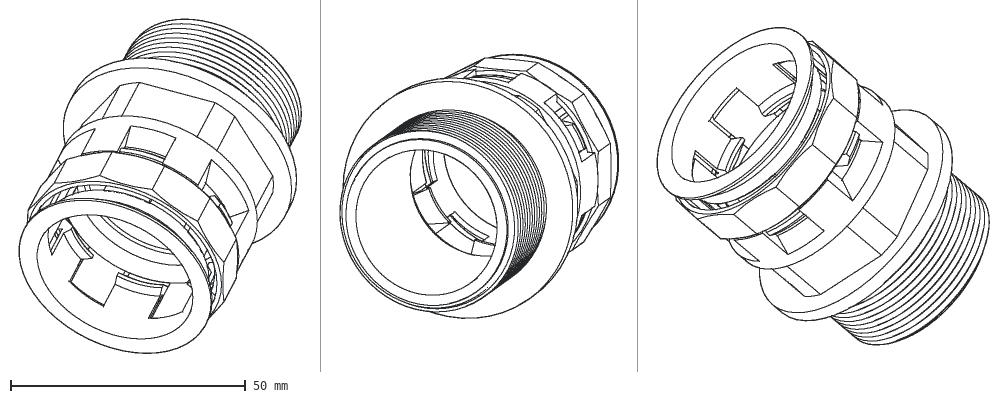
import cadquery as cq
import math


LENGTH = 60.9
NUT_START = 5.85
NUT_END = 15.05
TAPER_START = 19.8
TAPER_END = 22.95
CAGE_END = 26.25
FLANGE_START = 37.75
FLANGE_END = 40.85
THREAD_END = 60.05

BORE_RADIUS = 15.95
SOCKET_RADIUS = 17.2
CAGE_BORE_RADIUS = 19.5
CAGE_RADIUS = 22.5
POST_RADIUS = 21.0
POST_START = 7.6
POST_DISH = 0.9
HEX_FLAT = 20.1
NECK_RADIUS = 21.85
FLANGE_RADIUS = 26.0
THREAD_RADIUS = 20.05
THREAD_ROOT = 19.0
THREAD_PITCH = 1.5
SHANK_RADIUS = 18.2
COIL_BORE = 17.05

WINDOW_HALF_WIDTH = 5.1
SIDE_WINDOW_X = 13.2
SIDE_WINDOW_Z = 5.9
WINDOW_END = 23.2

NUT_SIDES = 12
NUT_FLAT = 22.3
NUT_END_RADIUS = 22.05
NUT_CHAMFER_SLOPE = 0.8

SLEEVE_BORE_RADIUS = 17.7
RIM_RADIUS = NECK_RADIUS
RIM_END = 0.7
FLARE_END = 3.65
COLLAR_END = 6.65
COLLAR_RADIUS = 18.9
FINGER_RADIUS = 18.65
BARB_START = 13.65
BARB_RADIUS = 16.3
BARB_PEAK = 14.8
BEVEL_START = 15.8
TIP_RADIUS = 19.8
TIP_END = 18.95
HOOK_RADIUS = 21.4
HOOK_START = 16.25
HOOK_END = 17.4
SIDE_FINGER_TOP = 12.25
SIDE_FINGER_X = 15.6
SIDE_FINGER_Z = 5.1
SIDE_FINGER_SLOPE = 23.0

CLEAR = 27.4
SIDES = (1, -1)


def turned(profile):
    """Solid of revolution about Y from (radius, y) points."""
    return cq.Workplane("XY").polyline(profile).close().revolve(360, (0, 0), (0, 1))


def ring(inner, outer, start, end):
    return turned([(inner, start), (outer, start), (outer, end), (inner, end)])


def prism(outline, start, end):
    """Prism along Y from (x, z) points."""
    return cq.Workplane("XZ", origin=(0, start, 0)).polyline(outline).close().extrude(start - end)


def regular_prism(sides, flat, start, end):
    """Regular polygon prism along Y with flats facing +Z and -Z."""
    corner_radius = flat / math.cos(math.pi / sides)
    outline = []
    for i in range(sides):
        angle = math.pi / 2 + (2 * i + 1) * math.pi / sides
        outline.append((corner_radius * math.cos(angle), corner_radius * math.sin(angle)))
    return prism(outline, start, end)


def six_sectors(middle, side, start, end):
    """One prism for the +Z sector and one for the +X +Z sector, mirrored to make six."""
    sectors = cq.Workplane("XY")
    for z_sign in SIDES:
        sectors = sectors.add(prism([(x, z_sign * z) for x, z in middle], start, end))
        for x_sign in SIDES:
            sectors = sectors.add(prism([(x_sign * x, z_sign * z) for x, z in side], start, end))
    return sectors.combine()


def helix_turn(radius, height):
    """One left-handed turn about Z, starting over +X at the given height."""
    return cq.Wire.makeHelix(THREAD_PITCH, THREAD_PITCH, radius, lefthand=True).translate((0, 0, height))


def coil_end(height):
    """Flat end of the coiled thread section, in the half-plane through +X."""
    crest = height + THREAD_PITCH / 2
    top = height + THREAD_PITCH
    corners = [
        (COIL_BORE, 0, height),
        (THREAD_ROOT, 0, height),
        (THREAD_RADIUS, 0, crest),
        (THREAD_ROOT, 0, top),
        (COIL_BORE, 0, top),
    ]
    return cq.Face.makeFromWires(cq.Wire.makePolygon([cq.Vector(*c) for c in corners], close=True))


def strip(first, second):
    """Helical face between two turns, each a (radius, height)."""
    return cq.Face.makeRuledSurface(helix_turn(*first), helix_turn(*second))


def make_thread():
    """Coil with a V outside, trimmed flat at both ends and hollowed to the plain shank."""
    length = THREAD_END - FLANGE_END
    turns = math.ceil(length / THREAD_PITCH) + 2
    top = turns * THREAD_PITCH
    faces = [
        coil_end(0),
        coil_end(top),
        strip((COIL_BORE, 0), (THREAD_ROOT, 0)),
        strip((COIL_BORE, top), (THREAD_ROOT, top)),
    ]
    for turn in range(turns):
        root = turn * THREAD_PITCH
        crest = root + THREAD_PITCH / 2
        next_root = root + THREAD_PITCH
        faces.append(strip((THREAD_ROOT, root), (THREAD_RADIUS, crest)))
        faces.append(strip((THREAD_RADIUS, crest), (THREAD_ROOT, next_root)))
        faces.append(strip((COIL_BORE, root), (COIL_BORE, next_root)))
    coil = (
        cq.Workplane(obj=cq.Solid.makeSolid(cq.Shell.makeShell(faces)))
        .rotate((0, 0, 0), (1, 0, 0), -90)
        .translate((0, FLANGE_END - THREAD_PITCH, 0))
    )
    return coil.intersect(ring(SHANK_RADIUS, CLEAR, FLANGE_END, THREAD_END))


def make_windows():
    """Six openings that leave posts between them and run out of the front of the cage."""
    slope = (WINDOW_END - TAPER_START) / (CAGE_RADIUS - CAGE_BORE_RADIUS)
    inner = CAGE_BORE_RADIUS - 0.6
    depth = turned([
        (inner, 0),
        (CLEAR, 0),
        (CLEAR, WINDOW_END + slope * (CLEAR - CAGE_RADIUS)),
        (CAGE_BORE_RADIUS, TAPER_START),
        (inner, TAPER_START),
    ])
    w = WINDOW_HALF_WIDTH
    middle = [(-w, 0), (w, 0), (w, CLEAR), (-w, CLEAR)]
    side = [
        (SIDE_WINDOW_X, SIDE_WINDOW_Z),
        (CLEAR, SIDE_WINDOW_Z),
        (CLEAR, CLEAR),
        (SIDE_WINDOW_X, CLEAR),
    ]
    return depth.intersect(six_sectors(middle, side, 0, FLANGE_START))


def make_housing():
    cage = turned([
        (CAGE_BORE_RADIUS, POST_START + POST_DISH),
        (POST_RADIUS, POST_START),
        (POST_RADIUS, NUT_END),
        (CAGE_RADIUS, NUT_END),
        (CAGE_RADIUS, CAGE_END),
        (BORE_RADIUS, CAGE_END),
        (SOCKET_RADIUS, CAGE_END),
        (SOCKET_RADIUS, TAPER_END),
        (CAGE_BORE_RADIUS, TAPER_START),
    ]).cut(make_windows())
    neck = (
        regular_prism(6, HEX_FLAT, CAGE_END, FLANGE_START)
        .intersect(ring(BORE_RADIUS, NECK_RADIUS, CAGE_END, FLANGE_START))
    )
    flange = ring(BORE_RADIUS, FLANGE_RADIUS, FLANGE_START, FLANGE_END)
    shank = ring(BORE_RADIUS, SHANK_RADIUS, FLANGE_END, LENGTH)
    threaded_shank = make_thread().union(shank)
    return cage.union(neck).union(flange).union(threaded_shank)


def make_nut():
    chamfer = NUT_CHAMFER_SLOPE * (CLEAR - NUT_END_RADIUS)
    blank = turned([
        (POST_RADIUS, NUT_START),
        (NUT_END_RADIUS, NUT_START),
        (CLEAR, NUT_START + chamfer),
        (CLEAR, NUT_END - chamfer),
        (NUT_END_RADIUS, NUT_END),
        (POST_RADIUS, NUT_END),
    ])
    return regular_prism(NUT_SIDES, NUT_FLAT, NUT_START, NUT_END).intersect(blank)


def make_fingers():
    """Six hooked fingers behind the collar, one in each window."""
    hooked_ring = turned([
        (SLEEVE_BORE_RADIUS, COLLAR_END),
        (FINGER_RADIUS, COLLAR_END),
        (FINGER_RADIUS, NUT_END),
        (CAGE_BORE_RADIUS, NUT_END),
        (HOOK_RADIUS, HOOK_START),
        (HOOK_RADIUS, HOOK_END),
        (TIP_RADIUS, TIP_END),
        (BARB_RADIUS, BEVEL_START),
        (BARB_RADIUS, BARB_PEAK),
        (SLEEVE_BORE_RADIUS, BARB_START),
    ])
    w = WINDOW_HALF_WIDTH
    middle = [(-w, 0), (w, 0), (w, CLEAR), (-w, CLEAR)]
    rise = math.tan(math.radians(SIDE_FINGER_SLOPE))
    inner_x = w
    side = [
        (inner_x, SIDE_FINGER_Z + rise * (inner_x - SIDE_FINGER_X)),
        (CLEAR, SIDE_FINGER_Z + rise * (CLEAR - SIDE_FINGER_X)),
        (CLEAR, SIDE_FINGER_TOP),
        (inner_x, SIDE_FINGER_TOP),
    ]
    return hooked_ring.intersect(six_sectors(middle, side, COLLAR_END, TIP_END))


def make_sleeve():
    collar = turned([
        (SLEEVE_BORE_RADIUS, 0),
        (RIM_RADIUS, 0),
        (RIM_RADIUS, RIM_END),
        (COLLAR_RADIUS, FLARE_END),
        (COLLAR_RADIUS, COLLAR_END),
        (SLEEVE_BORE_RADIUS, COLLAR_END),
    ])
    return collar.union(make_fingers())


housing = make_housing()
nut = make_nut()
sleeve = make_sleeve()
result = cq.Compound.makeCompound([housing.val(), nut.val(), sleeve.val()])